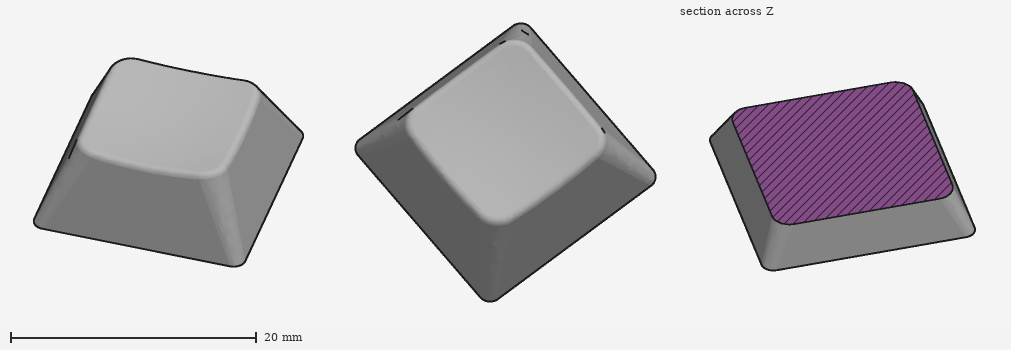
import cadquery as cq

base_width = 18.0
base_corner_radius = 1.0
body_height = 7.0
top_width = 12.3
top_corner_radius = 1.96

dish_radius = 39.96
dish_bottom_height = 6.01

rim_fillet_radius = 0.6


def rounded_square(width, corner_radius, height):
    """Horizontal square with rounded corners, centred on the Z axis."""
    square = cq.Sketch().rect(width, width).vertices().fillet(corner_radius)
    return square.moved(cq.Location(cq.Vector(0, 0, height)))


def tapered_body():
    """Solid body with flat sloping sides and conical corners."""
    base = rounded_square(base_width, base_corner_radius, 0)
    top = rounded_square(top_width, top_corner_radius, body_height)
    return cq.Workplane("XY").placeSketch(base, top).loft(ruled=True)


def finger_dish():
    """Sphere above the body whose lowest point is the middle of the dish."""
    centre_height = dish_bottom_height + dish_radius
    return cq.Workplane("XY", origin=(0, 0, centre_height)).sphere(dish_radius)


keycap = tapered_body().cut(finger_dish())

result = keycap.faces(">Z").edges().fillet(rim_fillet_radius)